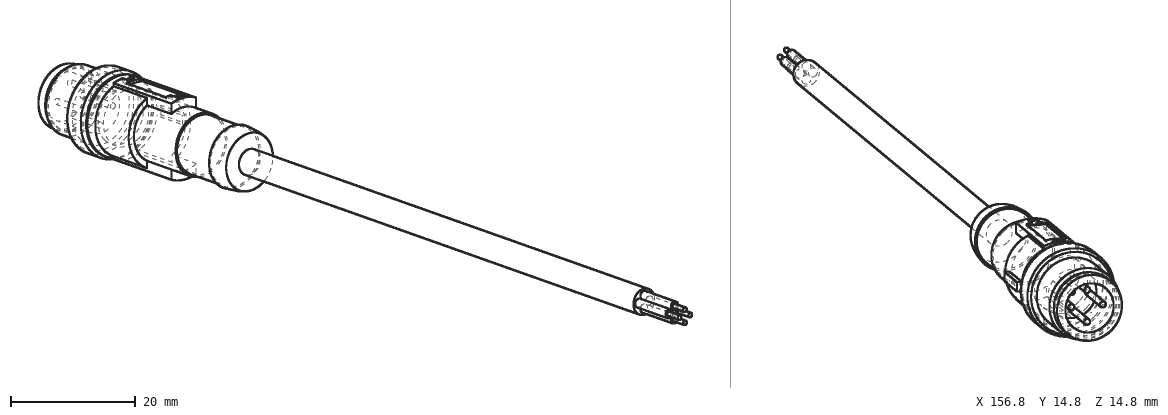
import cadquery as cq
import math

total_length = 156.8

groove_start = 1.7
sleeve_start = 2.5
nut_start = 9.1
nut_end = 14.1
body_start = 15.5
body_end = 24.0
waist_end = 34.5
collar_start = 43.0
collar_end = 46.7

nose_radius = 5.5
groove_radius = 5.2
sleeve_radius = 6.0
nut_radius = 7.4
neck_radius = 4.7
body_radius = 6.5
waist_radius = 5.3
tail_radius = 5.0
collar_radius = 5.3
collar_taper = 0.5

sleeve_bevel = 0.3
nut_front_bevel = 0.5
nut_rear_bevel_length = 0.8
nut_rear_rim = 0.3
nut_rear_bevel_depth = 0.5

bore_radius = 4.0
bore_depth = 9.0
contact_count = 4
contact_radius = 0.5
contact_circle_radius = 2.7
contact_tip = 1.3
key_radius = 0.6
key_circle_radius = 3.8
key_angle = 45.0

bar_end = 30.1
bar_width = 5.2
bar_crown_radius = 6.9
window_start = 17.5
window_end = 27.6
window_width = 3.3
window_floor = 6.5
notch_floor = 6.6
notch_width = 1.4
front_notch_end = 16.6
rear_notch_end = 29.6

mark_end = 22.0
mark_width = 1.5
mark_top = 7.2

jacket_radius = 2.2
jacket_end = 146.5
wire_count = 4
wire_radius = 0.75
wire_circle_radius = 1.1
wire_end = 154.1
strand_radius = 0.39


def rod(start, end, radius, y=0.0, z=0.0):
    """Cylinder along X between two stations."""
    return cq.Workplane("YZ", origin=(start, y, z)).circle(radius).extrude(end - start)


def block(start, end, y_range, z_range):
    """Box between two X stations and the given Y and Z limits."""
    size = (end - start, y_range[1] - y_range[0], z_range[1] - z_range[0])
    corner = (start, y_range[0], z_range[0])
    return cq.Workplane("XY", origin=corner).box(*size, centered=False)


def ring_places(count, radius):
    """Evenly spaced (y, z) places around the X axis, starting on +Y."""
    angles = [2 * math.pi * i / count for i in range(count)]
    return [(radius * math.cos(a), radius * math.sin(a)) for a in angles]


def turned_body():
    """Nose, sleeve, coupling nut and grip as one revolved outline."""
    outline = [
        (0, 0),
        (0, nose_radius),
        (groove_start, nose_radius),
        (groove_start, groove_radius),
        (sleeve_start - sleeve_bevel, groove_radius),
        (sleeve_start, sleeve_radius),
        (nut_start, sleeve_radius),
        (nut_start, nut_radius - nut_front_bevel),
        (nut_start + nut_front_bevel, nut_radius),
        (nut_end - nut_rear_rim - nut_rear_bevel_length, nut_radius),
        (nut_end - nut_rear_rim, nut_radius - nut_rear_bevel_depth),
        (nut_end, nut_radius - nut_rear_bevel_depth),
        (nut_end, neck_radius),
        (body_start, neck_radius),
        (body_start, body_radius),
        (body_end, body_radius),
        (body_end, waist_radius),
        (waist_end, waist_radius),
        (waist_end, tail_radius),
        (collar_start, tail_radius),
        (collar_start, collar_radius),
    ]
    collar_middle = ((collar_start + collar_end) / 2, collar_radius - collar_taper / 4)
    profile = cq.Workplane("XY").polyline(outline)
    profile = profile.threePointArc(collar_middle, (collar_end, collar_radius - collar_taper))
    profile = profile.lineTo(collar_end, 0).close()
    return profile.revolve(360, (0, 0, 0), (1, 0, 0))


def latch_bars():
    """Flat-sided bars with round crowns, running above and below the grip."""
    half_width = bar_width / 2
    slab = block(body_start, bar_end, (-half_width, half_width), (-nut_radius, nut_radius))
    return slab.intersect(rod(body_start, bar_end, bar_crown_radius))


def latch_recess(start, end, width, floor):
    """Shallow flat-bottomed cut in the crown of the upper bar."""
    return block(start, end, (-width / 2, width / 2), (floor, nut_radius))


def orientation_mark():
    half_width = mark_width / 2
    return block(body_start, mark_end, (0, mark_top), (-half_width, half_width))


def socket_key():
    """Round coding key along the wall of the bore."""
    angle = math.radians(key_angle)
    y = key_circle_radius * math.cos(angle)
    z = key_circle_radius * math.sin(angle)
    return rod(contact_tip, bore_depth, key_radius, y, z)


def stripped_cable():
    cable = rod(collar_end, jacket_end, jacket_radius)
    for y, z in ring_places(wire_count, wire_circle_radius):
        cable = cable.union(rod(jacket_end, wire_end, wire_radius, y, z))
        cable = cable.union(rod(wire_end, total_length, strand_radius, y, z))
    return cable


result = turned_body().union(latch_bars()).union(orientation_mark())
result = result.cut(latch_recess(window_start, window_end, window_width, window_floor))
result = result.cut(latch_recess(body_start, front_notch_end, notch_width, notch_floor))
result = result.cut(latch_recess(window_end, rear_notch_end, notch_width, notch_floor))

result = result.cut(rod(0, bore_depth, bore_radius)).union(socket_key())
for contact_y, contact_z in ring_places(contact_count, contact_circle_radius):
    result = result.union(rod(contact_tip, bore_depth, contact_radius, contact_y, contact_z))

result = result.union(stripped_cable())